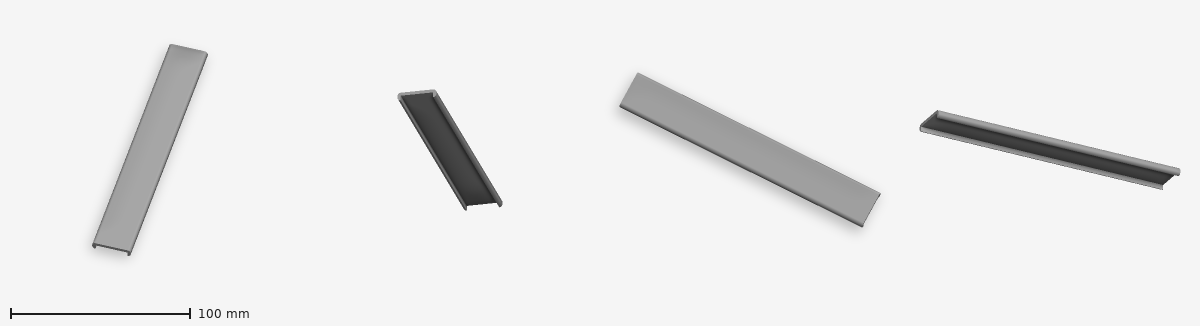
import cadquery as cq
import math

width = 22.3
length = 152.4
height = 4.7

wall = 1.8

half_width = width / 2
half_inner = half_width - wall
top = height / 2
bottom = -height / 2
diagonal = wall * math.cos(math.radians(45))


def channel_profile():
    """Shallow channel, open below, with quarter-round shoulders and lips tapering to the inner wall."""
    shoulder = top - wall
    lip = bottom + wall
    arc_x = half_inner + diagonal
    return (
        cq.Workplane("XZ")
        .moveTo(-half_inner, top)
        .lineTo(half_inner, top)
        .threePointArc((arc_x, shoulder + diagonal), (half_width, shoulder))
        .lineTo(half_width, lip)
        .threePointArc((arc_x, lip - diagonal), (half_inner, bottom))
        .lineTo(half_inner, shoulder)
        .lineTo(-half_inner, shoulder)
        .lineTo(-half_inner, bottom)
        .threePointArc((-arc_x, lip - diagonal), (-half_width, lip))
        .lineTo(-half_width, shoulder)
        .threePointArc((-arc_x, shoulder + diagonal), (-half_inner, top))
        .close()
    )


result = channel_profile().extrude(length / 2, both=True)